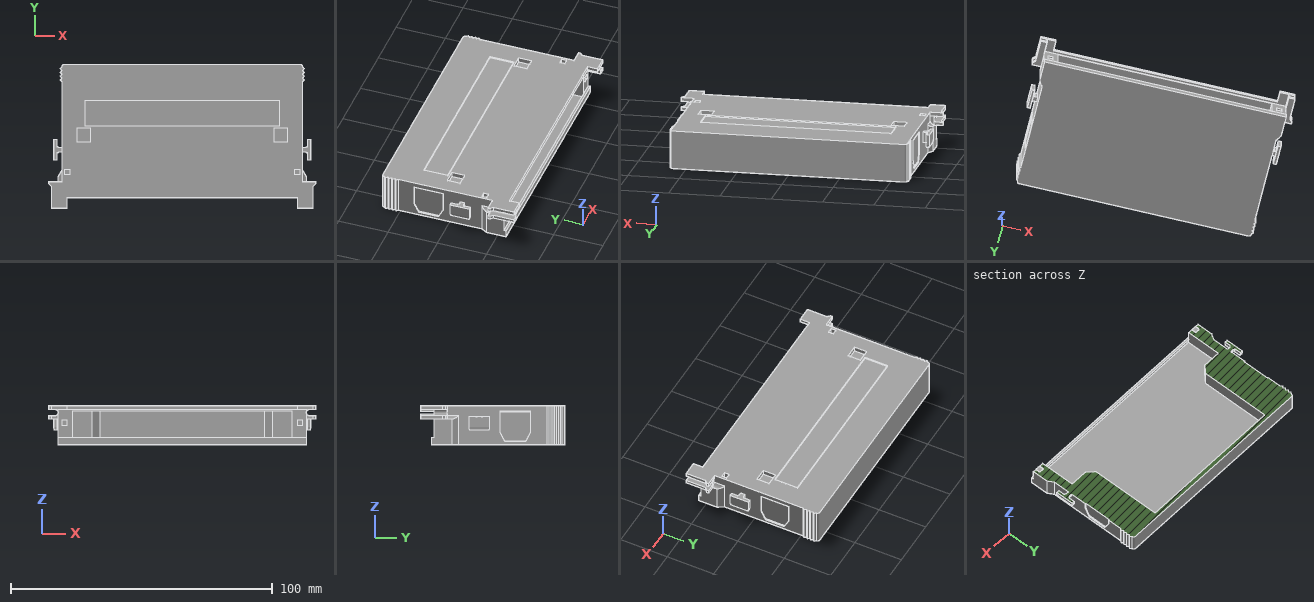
import cadquery as cq

LENGTH = 55.0
HEIGHT = 15.0
BODY_HALF = 46.0
BLOCK_HALF = 47.5
PLATE_THICKNESS = 1.5
PLATE_BOTTOM = HEIGHT - PLATE_THICKNESS
PLATE_FRONT = 4.0
BLOCK_FRONT = 5.0
BLOCK_BACK = 10.0
LIP_FRONT = 4.1
LIP_HEIGHT = 2.9

TOOTH_COUNT = 4
TOOTH_PITCH = 1.43
TOOTH_HEIGHT = 0.6
TEETH_START = 48.3
TEETH_END = TEETH_START + TOOTH_COUNT * TOOTH_PITCH

CORNER_RADIUS = LENGTH - TEETH_END

EAR_OUTER = 51.025
EAR_SIDE = 50.0
EAR_BACK = 10.2
EAR_HOOK_TIP = 9.4
EAR_HOOK_ROOT = 8.4
TAB_INNER = 44.0
RAIL_BOTTOM = 9.9
RAIL_TOP = 11.2

SCREW_X = 48.55
SCREW_Z = (PLATE_BOTTOM + RAIL_TOP) / 2
CHANNEL_HEIGHT = PLATE_BOTTOM - RAIL_TOP
HEAD_DIAMETER = 5.5
WEDGE_TOP = 11.45
WEDGE_SHOULDER = 12.0
WEDGE_BACK = 14.5

CAVITY_FLOOR = 1.5
CAVITY_CEILING = 13.05
MOUTH_HALF = 42.0
MOUTH_BACK = 20.0
THROAT_HALF = 34.4
CAVITY_HALF = 31.5
THROAT_DEPTH = THROAT_HALF - CAVITY_HALF
THROAT_BACK = MOUTH_BACK + THROAT_DEPTH
REAR_WALL = 2.0
CAVITY_BACK = LENGTH - REAR_WALL

LABEL_WIDTH = 74.4
LABEL_FRONT = 31.5
LABEL_BACK = 41.2
LABEL_DEPTH = 0.5
WINDOW_SIZE = 5.2
WINDOW_X = 37.6
WINDOW_Y = 28.0
WINDOW_DEPTH = 2.0
SLOT_LENGTH = 2.1
SLOT_WIDTH = 2.0
SLOT_X = 43.95
SLOT_Y = 13.85
SLOT_DEPTH = 3.0

SOCKET_SIZE = 2.05
SOCKET_X = 44.95
SOCKET_Z = 8.5
SOCKET_DEPTH = 2.0

PANEL_FRONT = 30.2
PANEL_BACK = 42.0
PANEL_TOP = 12.95
PANEL_SHOULDER = 5.0
PANEL_BOTTOM = 1.3
PANEL_BOTTOM_INSET = 1.9
PANEL_DEPTH = 0.3
PANEL_BEVEL = 0.29

LATCH_INNER = 47.8
LATCH_OUTER = 49.1
LATCH_FRONT = 18.4
LATCH_BACK = 26.3
LATCH_TOP = 10.8
LATCH_BOTTOM = 5.7
LATCH_TIP = 1.0
LATCH_TIP_INSET = 0.2
LATCH_Y = (LATCH_FRONT + LATCH_BACK) / 2
STEM_HALF = 0.9
STEM_FLARE = 0.4
STEM_FLARE_LENGTH = 0.7


def box(x0, x1, y0, y1, z0, z1):
    return cq.Workplane("XY").box(x1 - x0, y1 - y0, z1 - z0, centered=False).translate((x0, y0, z0))


def prism(points, z0, z1):
    return cq.Workplane("XY", origin=(0, 0, z0)).polyline(points).close().extrude(z1 - z0)


def both_sides(right):
    """A feature on the +X side joined with its mirror image on the -X side."""
    return right.union(right.mirror("YZ"))


def make_body():
    core = box(-BODY_HALF, BODY_HALF, BLOCK_FRONT, LENGTH, 0, HEIGHT)
    core = core.edges("|Z and >Y").fillet(CORNER_RADIUS)
    plate = box(-BODY_HALF, BODY_HALF, PLATE_FRONT, BLOCK_FRONT, PLATE_BOTTOM, HEIGHT)
    blocks = box(-BLOCK_HALF, BLOCK_HALF, BLOCK_FRONT, BLOCK_BACK, 0, PLATE_BOTTOM)
    lip = box(-BLOCK_HALF, BLOCK_HALF, LIP_FRONT, BLOCK_FRONT, 0, LIP_HEIGHT)
    return core.union(plate).union(blocks).union(lip)


def make_cavity():
    right_side = [
        (MOUTH_HALF, BLOCK_FRONT),
        (MOUTH_HALF, MOUTH_BACK),
        (THROAT_HALF, MOUTH_BACK),
        (CAVITY_HALF, THROAT_BACK),
        (CAVITY_HALF, CAVITY_BACK),
    ]
    left_side = [(-x, y) for x, y in reversed(right_side)]
    return prism(right_side + left_side, CAVITY_FLOOR, CAVITY_CEILING)


def make_grip_teeth():
    points = [(BODY_HALF, TEETH_START)]
    for i in range(TOOTH_COUNT):
        root = TEETH_START + i * TOOTH_PITCH
        points.append((BODY_HALF + TOOTH_HEIGHT, root + TOOTH_PITCH / 2))
        points.append((BODY_HALF, root + TOOTH_PITCH))
    inside = BODY_HALF - CORNER_RADIUS
    points += [(inside, TEETH_END), (inside, TEETH_START)]
    return prism(points, 0, HEIGHT)


def make_ear(inner, bottom):
    points = [
        (inner, 0),
        (EAR_SIDE, 0),
        (EAR_SIDE, EAR_HOOK_ROOT),
        (EAR_OUTER, EAR_HOOK_TIP),
        (EAR_OUTER, EAR_BACK),
        (inner, EAR_BACK),
    ]
    return prism(points, bottom, HEIGHT)


def screw_cylinder(diameter, y0, y1):
    return cq.Workplane("XZ", origin=(SCREW_X, y0, SCREW_Z)).circle(diameter / 2).extrude(y0 - y1)


def make_screw_channel():
    opening = box(SCREW_X, EAR_OUTER, 0, EAR_BACK, RAIL_TOP, PLATE_BOTTOM)
    return opening.union(screw_cylinder(CHANNEL_HEIGHT, 0, EAR_BACK))


def make_wedge():
    """Sloped shoulder behind each front block, hollowed on top for the screw head."""
    points = [
        (BODY_HALF, BLOCK_BACK),
        (BLOCK_HALF, BLOCK_BACK),
        (BLOCK_HALF, WEDGE_SHOULDER),
        (BODY_HALF, WEDGE_BACK),
    ]
    return prism(points, 0, WEDGE_TOP).cut(screw_cylinder(HEAD_DIAMETER, BLOCK_BACK, WEDGE_BACK))


def make_latch():
    stem_half_wide = STEM_HALF + STEM_FLARE
    flare_x = LATCH_INNER - STEM_FLARE_LENGTH
    tip_z = LATCH_BOTTOM + LATCH_TIP
    stem = prism(
        [
            (BODY_HALF, LATCH_Y - STEM_HALF),
            (flare_x, LATCH_Y - STEM_HALF),
            (LATCH_INNER, LATCH_Y - stem_half_wide),
            (LATCH_INNER, LATCH_Y + stem_half_wide),
            (flare_x, LATCH_Y + STEM_HALF),
            (BODY_HALF, LATCH_Y + STEM_HALF),
        ],
        tip_z,
        LATCH_TOP,
    )
    paddle = box(LATCH_INNER, LATCH_OUTER, LATCH_FRONT, LATCH_BACK, LATCH_BOTTOM, LATCH_TOP)
    bottom_rim = "(<Z and >X) or (<Z and <Y) or (<Z and >Y)"
    paddle = paddle.edges(bottom_rim).chamfer(LATCH_TIP, LATCH_TIP_INSET)
    return paddle.union(stem)


def make_panel_recess():
    """Five-sided shallow pocket with bevelled upper and lower walls."""
    outline = [
        (PANEL_FRONT, PANEL_TOP),
        (PANEL_BACK, PANEL_TOP),
        (PANEL_BACK, PANEL_SHOULDER),
        (PANEL_BACK - PANEL_BOTTOM_INSET, PANEL_BOTTOM),
        (PANEL_FRONT + PANEL_BOTTOM_INSET, PANEL_BOTTOM),
        (PANEL_FRONT, PANEL_SHOULDER),
    ]
    pocket = cq.Workplane("YZ", origin=(BODY_HALF - PANEL_DEPTH, 0, 0)).polyline(outline).close()
    pocket = pocket.extrude(PANEL_DEPTH)
    return pocket.edges("|Y and <X").chamfer(PANEL_BEVEL)


def make_top_recesses():
    label = box(-LABEL_WIDTH / 2, LABEL_WIDTH / 2, LABEL_FRONT, LABEL_BACK, HEIGHT - LABEL_DEPTH, HEIGHT)
    window = cq.Workplane("XY", origin=(WINDOW_X, WINDOW_Y, HEIGHT))
    window = window.rect(WINDOW_SIZE, WINDOW_SIZE).extrude(-WINDOW_DEPTH)
    slot = cq.Workplane("XY", origin=(SLOT_X, SLOT_Y, HEIGHT))
    slot = slot.rect(SLOT_LENGTH, SLOT_WIDTH).extrude(-SLOT_DEPTH)
    return label.union(both_sides(window)).union(both_sides(slot))


def make_socket():
    socket = cq.Workplane("XZ", origin=(SOCKET_X, BLOCK_FRONT, SOCKET_Z))
    return socket.rect(SOCKET_SIZE, SOCKET_SIZE).extrude(-SOCKET_DEPTH)


body = make_body().cut(make_cavity())
side_parts = [
    make_grip_teeth(),
    make_ear(TAB_INNER, PLATE_BOTTOM),
    make_ear(BLOCK_HALF, RAIL_BOTTOM),
    make_wedge(),
    make_latch(),
]
for part in side_parts:
    body = body.union(both_sides(part))

side_cuts = [
    make_screw_channel(),
    make_panel_recess(),
    make_socket(),
]
for cutter in side_cuts:
    body = body.cut(both_sides(cutter))

result = body.cut(make_top_recesses())